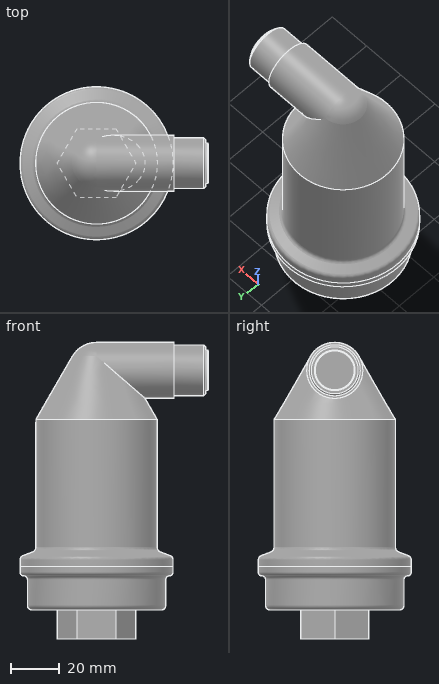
import cadquery as cq
import math

total_height = 122.0
hex_height = 12.0
parting_height = 29.9

flange_radius = 63.0 / 2

cap_radius = 57.0 / 2
cap_bottom_fillet = 2.0
flange_bottom_height = 26.0
flange_bottom_fillet = (flange_radius - cap_radius) / 2
hex_across_flats = 28.0
hex_across_corners = hex_across_flats / math.cos(math.radians(30))

barrel_radius = 50.0 / 2
shoulder_top_height = 36.4
shoulder_angle = 20.5
shoulder_drop = (flange_radius - barrel_radius) * math.tan(math.radians(shoulder_angle))
shoulder_fillet = 2.0
cone_half_angle = 30.0

pipe_radius = 23.0 / 2
pipe_axis_height = total_height - pipe_radius
pipe_length = 31.8
spigot_radius = 21.0 / 2
spigot_end = 44.9
spigot_chamfer = 0.9
lip_radius = 16.7 / 2
lip_end = 77.5 - flange_radius
lip_chamfer = 0.4

tangent_angle = math.radians(cone_half_angle)
dome_edge_radius = pipe_radius * math.cos(tangent_angle)
dome_edge_height = pipe_axis_height + pipe_radius * math.sin(tangent_angle)
cone_base_height = dome_edge_height - (barrel_radius - dome_edge_radius) / math.tan(tangent_angle)

pipe_bottom_height = pipe_axis_height - pipe_radius
joint_x = dome_edge_radius + (dome_edge_height - pipe_bottom_height) * math.tan(tangent_angle)


def make_cap():
    """Cap: stepped disc with rounded flange and a hexagonal drive below it."""
    outline = (
        cq.Workplane("XZ")
        .moveTo(0, hex_height)
        .lineTo(cap_radius - cap_bottom_fillet, hex_height)
        .radiusArc((cap_radius, hex_height + cap_bottom_fillet), -cap_bottom_fillet)
        .lineTo(cap_radius, flange_bottom_height - flange_bottom_fillet)
        .radiusArc((cap_radius + flange_bottom_fillet, flange_bottom_height), flange_bottom_fillet)
        .radiusArc((flange_radius, flange_bottom_height + flange_bottom_fillet), -flange_bottom_fillet)
        .lineTo(flange_radius, parting_height)
        .lineTo(0, parting_height)
        .close()
    )
    disc = outline.revolve(360, (0, 0, 0), (0, 1, 0))
    drive = cq.Workplane("XY").polygon(6, hex_across_corners).extrude(hex_height)
    return disc.union(drive)


def make_housing_shell():
    """Revolved part of the housing: flange, barrel, cone and tangent dome."""
    flange_top_height = shoulder_top_height - shoulder_drop
    shell = (
        cq.Workplane("XZ")
        .moveTo(0, parting_height)
        .lineTo(flange_radius, parting_height)
        .lineTo(flange_radius, flange_top_height)
        .lineTo(barrel_radius, shoulder_top_height)
        .lineTo(barrel_radius, cone_base_height)
        .lineTo(dome_edge_radius, dome_edge_height)
        .radiusArc((0, total_height), -pipe_radius)
        .close()
        .revolve(360, (0, 0, 0), (0, 1, 0))
    )
    shoulder_zone = cq.selectors.BoxSelector(
        (-flange_radius, -flange_radius, flange_top_height - shoulder_fillet),
        (flange_radius, flange_radius, shoulder_top_height + shoulder_fillet),
    )
    return shell.edges("%CIRCLE").edges(shoulder_zone).fillet(shoulder_fillet)


def make_pipe():
    """Horizontal pipe along +X with a chamfered spigot and an end lip."""
    outline = (
        cq.Workplane("XZ", origin=(0, 0, pipe_axis_height))
        .lineTo(0, pipe_radius)
        .lineTo(pipe_length, pipe_radius)
        .lineTo(pipe_length, spigot_radius)
        .lineTo(spigot_end - spigot_chamfer, spigot_radius)
        .lineTo(spigot_end, spigot_radius - spigot_chamfer)
        .lineTo(spigot_end, lip_radius)
        .lineTo(lip_end - lip_chamfer, lip_radius)
        .lineTo(lip_end, lip_radius - lip_chamfer)
        .lineTo(lip_end, 0)
        .close()
    )
    return outline.revolve(360, (0, 0, 0), (1, 0, 0))


def make_pipe_region():
    """Space occupied by the pipe alone; its sloping side is the flat joint with the cone.

    Cone and pipe enclose the same sphere, so their surfaces meet in a plane ellipse.
    """
    return (
        cq.Workplane("XZ")
        .moveTo(0, total_height + pipe_radius)
        .lineTo(0, dome_edge_height)
        .lineTo(joint_x, pipe_bottom_height)
        .lineTo(lip_end + pipe_radius, pipe_bottom_height)
        .lineTo(lip_end + pipe_radius, total_height + pipe_radius)
        .close()
        .extrude(2 * barrel_radius, both=True)
    )


def make_housing():
    """Housing: shell and pipe mitred along their common joint plane."""
    pipe_region = make_pipe_region()
    mitred_shell = make_housing_shell().cut(pipe_region)
    mitred_pipe = make_pipe().intersect(pipe_region)
    return mitred_shell.union(mitred_pipe)


cap = make_cap()
housing = make_housing()

result = cq.Compound.makeCompound([cap.solids().val(), housing.solids().val()])